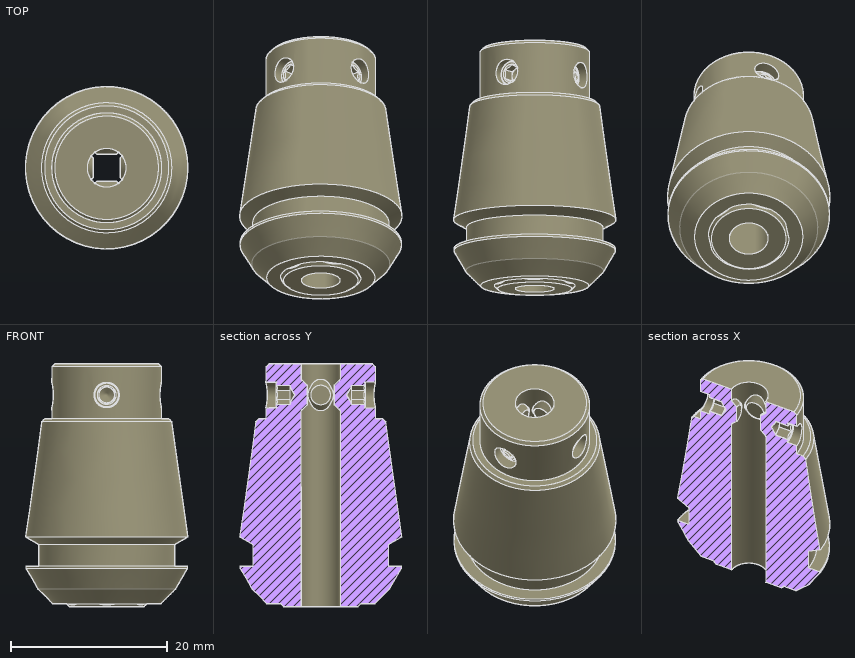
import cadquery as cq
import math

FULL_TURN = 360.0
HEXAGON_SIDES = 6

TOTAL_HEIGHT = 31.0
BORE_DIAMETER = 4.93

NOSE_BOTTOM_RADIUS = 4.75
NOSE_HEIGHT = 0.4
NOSE_ACROSS_FLATS = 10.0

NUT_BOTTOM_RADIUS = 6.9
NUT_BREAK_RADIUS = 8.8
FLANGE_DIAMETER = 20.6
FLANGE_TOP_Z = 5.2
FLANGE_CONE_ANGLE = 30.0

GROOVE_DIAMETER = 17.4
GROOVE_TOP_Z = 7.95
GROOVE_CONE_ANGLE = 60.0

TAPER_MAX_DIAMETER = 20.73
TAPER_ANGLE = 8.0
TAPER_TOP_Z = 24.0

NECK_DIAMETER = 14.0
EDGE_CHAMFER = 0.4

SCREW_COUNT = 4
SCREW_Z = 27.0
SCREW_HOLE_DIAMETER = 3.24
SCREW_DIAMETER = 4.0
SCREW_LENGTH = 4.0
SCREW_TIP_DISTANCE = 1.7
SCREW_FACE_DIAMETER = 3.0
SCREW_TIP_DIAMETER = 2.5
SOCKET_ACROSS_FLATS = 2.0
SOCKET_RIM_DIAMETER = 2.4
SOCKET_DEPTH = 1.8
SOCKET_POINT_ANGLE = 120.0
CORNER_UP_TURN = 90.0


def slope(angle):
    """Radial change per unit of length for a cone of this half angle."""
    return math.tan(math.radians(angle))


def hexagon_diameter(across_flats):
    """Diameter over the corners of a hexagon."""
    return across_flats / math.cos(math.pi / HEXAGON_SIDES)


def make_nose():
    """Short 45 degree cone whose wide end is trimmed by six flats, two of them facing +Y and -Y."""
    top_radius = NOSE_BOTTOM_RADIUS + NOSE_HEIGHT
    cone = cq.Workplane("XY").add(
        cq.Solid.makeCone(NOSE_BOTTOM_RADIUS, top_radius, NOSE_HEIGHT)
    )
    hexagon = (
        cq.Workplane("XY")
        .polygon(HEXAGON_SIDES, hexagon_diameter(NOSE_ACROSS_FLATS))
        .extrude(NOSE_HEIGHT)
    )
    return cone.intersect(hexagon)


def make_body():
    """Solid turned body above the nose: nut, groove, clamping taper and neck."""
    nut_break_z = NOSE_HEIGHT + NUT_BREAK_RADIUS - NUT_BOTTOM_RADIUS
    flange_radius = FLANGE_DIAMETER / 2
    flange_bottom_z = nut_break_z + (flange_radius - NUT_BREAK_RADIUS) / slope(FLANGE_CONE_ANGLE)
    groove_radius = GROOVE_DIAMETER / 2
    taper_max_radius = TAPER_MAX_DIAMETER / 2
    taper_bottom_z = GROOVE_TOP_Z + (taper_max_radius - groove_radius) / slope(GROOVE_CONE_ANGLE)
    taper_end_z = TAPER_TOP_Z - EDGE_CHAMFER
    taper_end_radius = taper_max_radius - (taper_end_z - taper_bottom_z) * slope(TAPER_ANGLE)
    neck_radius = NECK_DIAMETER / 2
    outline = [
        (0, NOSE_HEIGHT),
        (NUT_BOTTOM_RADIUS, NOSE_HEIGHT),
        (NUT_BREAK_RADIUS, nut_break_z),
        (flange_radius, flange_bottom_z),
        (flange_radius, FLANGE_TOP_Z),
        (groove_radius, FLANGE_TOP_Z),
        (groove_radius, GROOVE_TOP_Z),
        (taper_max_radius, taper_bottom_z),
        (taper_end_radius, taper_end_z),
        (taper_end_radius - EDGE_CHAMFER, TAPER_TOP_Z),
        (neck_radius, TAPER_TOP_Z),
        (neck_radius, TOTAL_HEIGHT - EDGE_CHAMFER),
        (neck_radius - EDGE_CHAMFER, TOTAL_HEIGHT),
        (0, TOTAL_HEIGHT),
    ]
    return cq.Workplane("XZ").polyline(outline).close().revolve(FULL_TURN, (0, 0), (0, 1))


def make_bore():
    """Through bore on the Z axis."""
    return cq.Workplane("XY").circle(BORE_DIAMETER / 2).extrude(TOTAL_HEIGHT)


def make_screw_hole():
    """Radial hole from the bore to past the neck, along +X."""
    return (
        cq.Workplane("YZ")
        .center(0, SCREW_Z)
        .circle(SCREW_HOLE_DIAMETER / 2)
        .extrude(NECK_DIAMETER)
    )


def turned_along_x(points):
    """Solid turned about the screw axis from (distance, radius) points."""
    return (
        cq.Workplane("XY", origin=(0, 0, SCREW_Z))
        .polyline(points)
        .close()
        .revolve(FULL_TURN, (0, 0), (1, 0))
    )


def make_screw():
    """Set screw along +X: both ends chamfered, tip in the bore, hexagon socket facing outward."""
    radius = SCREW_DIAMETER / 2
    tip_radius = SCREW_TIP_DIAMETER / 2
    face_radius = SCREW_FACE_DIAMETER / 2
    face_distance = SCREW_TIP_DISTANCE + SCREW_LENGTH
    screw = turned_along_x([
        (SCREW_TIP_DISTANCE, 0),
        (SCREW_TIP_DISTANCE, tip_radius),
        (SCREW_TIP_DISTANCE + radius - tip_radius, radius),
        (face_distance - (radius - face_radius), radius),
        (face_distance, face_radius),
        (face_distance, 0),
    ])

    socket_floor = face_distance - SOCKET_DEPTH
    socket = (
        cq.Workplane("YZ", origin=(socket_floor, 0, SCREW_Z))
        .transformed(rotate=(0, 0, CORNER_UP_TURN))
        .polygon(HEXAGON_SIDES, hexagon_diameter(SOCKET_ACROSS_FLATS))
        .extrude(SOCKET_DEPTH)
    )

    point_radius = SOCKET_ACROSS_FLATS / 2
    point_depth = point_radius / slope(SOCKET_POINT_ANGLE / 2)
    drill_point = turned_along_x([
        (socket_floor - point_depth, 0),
        (socket_floor, point_radius),
        (socket_floor, 0),
    ])

    rim_radius = SOCKET_RIM_DIAMETER / 2
    countersink = turned_along_x([
        (face_distance - rim_radius, 0),
        (face_distance, rim_radius),
        (face_distance, 0),
    ])
    return screw.cut(socket).cut(drill_point).cut(countersink)


result = make_body().union(make_nose()).cut(make_bore())
for index in range(SCREW_COUNT):
    turn = index * FULL_TURN / SCREW_COUNT
    result = result.cut(make_screw_hole().rotate((0, 0, 0), (0, 0, 1), turn))
    result = result.union(make_screw().rotate((0, 0, 0), (0, 0, 1), turn))